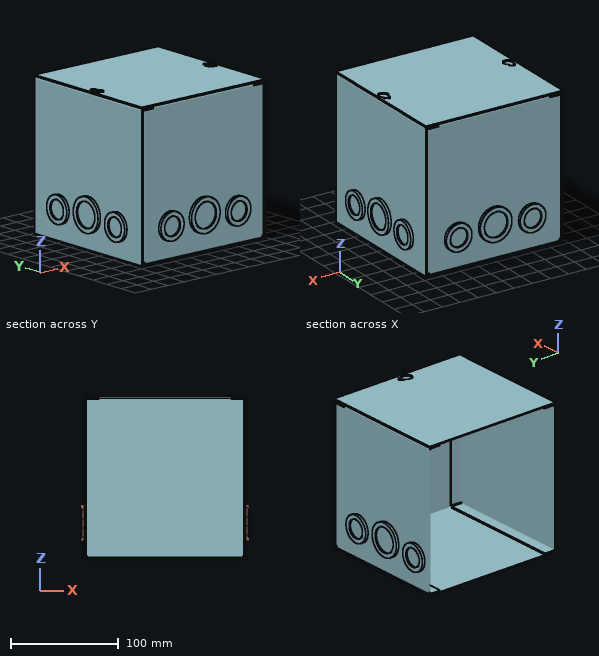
import cadquery as cq


overall_width = 158.3
overall_height = 153.9
sheet = 1.52
bend_inner_radius = sheet / 2
bend_outer_radius = bend_inner_radius + sheet

case_size = overall_height - sheet
half_case = case_size / 2

wrap_flange_width = 12.4
flange_gap = 1.9
panel_flange_depth = 12.7

knockout_rise = (overall_width - case_size) / 2
knockout_recess_depth = sheet
knockout_rim = 4.6
center_knockout_radius = 17.5
outer_knockout_radius = 14.3
knockout_spacing = 41.0
wrap_knockout_base = 17.4
panel_knockout_base = 19.3

keyhole_x = 69.4
keyhole_head_radius = 5.2
keyhole_slot_radius = 3.0
keyhole_head_offset = 6.5
screw_hole_radius = 2.0


def box_between(low, high):
    """Axis-aligned box from its lowest corner to its highest corner."""
    size = [end - start for start, end in zip(low, high)]
    return cq.Workplane("XY").box(*size, centered=False).translate(low)


def add_knockouts(body, base_height):
    """Add a row of three knockouts to the wall facing -Y."""
    row = (
        (-knockout_spacing, outer_knockout_radius),
        (0, center_knockout_radius),
        (knockout_spacing, outer_knockout_radius),
    )
    for across, radius in row:
        knockout = (
            cq.Workplane("XZ", origin=(across, -half_case, base_height + radius))
            .circle(radius)
            .extrude(knockout_rise)
            .faces("<Y")
            .workplane()
            .circle(radius - knockout_rim)
            .cutBlind(-knockout_recess_depth)
        )
        body = body.union(knockout)
    return body


def make_wrap():
    """Floor and two side walls in one bent sheet, with flanges turned in at the top."""
    outside = (
        box_between((-half_case, -half_case, 0), (half_case, half_case, case_size))
        .edges("|Y")
        .fillet(bend_outer_radius)
    )
    inner_half = half_case - sheet
    inside = (
        box_between((-inner_half, -half_case, sheet), (inner_half, half_case, case_size - sheet))
        .edges("|Y")
        .fillet(bend_inner_radius)
    )
    opening_half = half_case - wrap_flange_width
    opening = box_between(
        (-opening_half, -half_case, half_case), (opening_half, half_case, case_size)
    )
    wrap = outside.cut(inside).cut(opening)

    screw_holes = (
        cq.Workplane("XY", origin=(0, 0, case_size - sheet))
        .pushPoints([(-keyhole_x, 0), (keyhole_x, 0)])
        .circle(screw_hole_radius)
        .extrude(sheet)
    )
    wrap = wrap.cut(screw_holes)

    quarter_turn = 90
    half_turn = 180
    axis = ((0, 0, 0), (0, 0, 1))
    wrap = add_knockouts(wrap.rotate(*axis, quarter_turn), wrap_knockout_base)
    wrap = add_knockouts(wrap.rotate(*axis, half_turn), wrap_knockout_base)
    return wrap.rotate(*axis, quarter_turn)


def make_front_panel():
    """Panel at the -Y end: a shallow tray with separate flanges on its four edges."""
    half_width = half_case - sheet
    front = -half_case
    back = front + panel_flange_depth
    bottom = sheet
    top = case_size

    outside = (
        box_between((-half_width, front, bottom), (half_width, back, top))
        .faces("<Y")
        .edges()
        .fillet(bend_outer_radius)
    )
    inside = (
        box_between(
            (-half_width + sheet, front + sheet, bottom + sheet),
            (half_width - sheet, back, top - sheet),
        )
        .faces("<Y")
        .edges()
        .fillet(bend_inner_radius)
    )
    panel = outside.cut(inside)

    top_flange_half = half_case - wrap_flange_width - flange_gap
    bottom_flange_half = half_width - bend_outer_radius
    for side in (-1, 1):
        for flange_half, relief_bottom in (
            (top_flange_half, top - bend_outer_radius),
            (bottom_flange_half, bottom),
        ):
            ends = sorted((side * flange_half, side * half_width))
            relief = box_between(
                (ends[0], front, relief_bottom),
                (ends[1], back, relief_bottom + bend_outer_radius),
            )
            panel = panel.cut(relief)

    return add_knockouts(panel, panel_knockout_base)


def make_mounting_plate():
    """Flat top plate with a keyhole over each wrap flange."""
    plate = box_between(
        (-half_case, -half_case, case_size), (half_case, half_case, overall_height)
    )
    for x in (-keyhole_x, keyhole_x):
        base = cq.Workplane("XY", origin=(x, 0, case_size))
        head = base.center(0, -keyhole_head_offset).circle(keyhole_head_radius).extrude(sheet)
        slot_end = base.circle(keyhole_slot_radius).extrude(sheet)
        plate = plate.cut(head).cut(slot_end)
    return plate


wrap = make_wrap()
front_panel = make_front_panel()
back_panel = front_panel.mirror("XZ")
mounting_plate = make_mounting_plate()

result = cq.Compound.makeCompound(
    [wrap.val(), front_panel.val(), back_panel.val(), mounting_plate.val()]
)